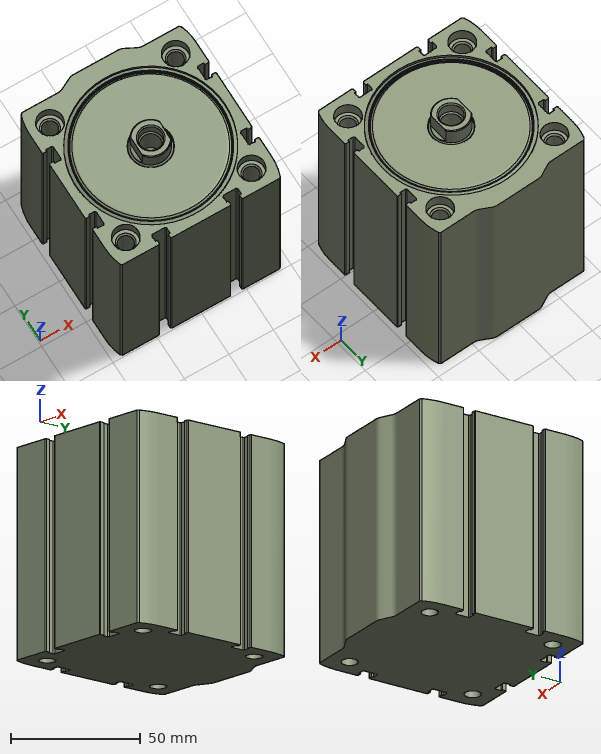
import cadquery as cq

width = 75.0
depth = 78.5
total_height = 92.0
rod_projection = 7.0
housing_height = total_height - rod_projection

half_width = width / 2
bow_start = 28.3
bow_end_x = 36.0
bow_end_y = 36.9
top_edge_end = 35.2
bow_mid_x = half_width - (half_width - bow_end_x) / 4
bow_mid_y = (bow_start + bow_end_y) / 2

hump_top = depth - half_width
hump_foot_x = 17.9
hump_crest_x = 11.2
hump_blend_radius = 5.0
hump_root_depth = 4.6
hump_root_x = 27.6

slot_offset = 16.0
slot_mouth = 5.0
slot_width = 6.6
slot_depth = 5.1
lip_depth = 2.0
lip_bevel = 0.4
floor_bevel = 0.5

hole_offset = 28.2
hole_diameter = 6.6
hole_mouth_diameter = 8.0
counterbore_diameter = 11.0
counterbore_depth = 5.0

groove_diameter = 67.0
groove_depth = 1.2
ridge_outer_diameter = 63.85
ridge_inner_diameter = 63.0
ridge_drop = 0.3
step_diameter = 62.4
step_drop = 1.1
disc_shoulder_diameter = 60.7
disc_shoulder_drop = 0.5
disc_diameter = 59.25
disc_drop = 0.3

shaft_diameter = 17.7
nose_diameter = 16.0
shoulder_drop = 0.55
shoulder_height = (shaft_diameter - nose_diameter) / 2
rod_length = 36.8
nose_bevel = 0.4
flat_spacing = 13.0
flat_base = 0.4
flat_base_fall = 0.7

seat_mouth_diameter = 18.1
seat_mouth_depth = shoulder_drop + shoulder_height

recess_diameter = 9.9
recess_mouth_diameter = 11.0
recess_depth = 5.0
recess_floor_fall = 0.5
bore_diameter = 8.6
bore_depth = 18.4
drill_tip_height = 2.5


def revolve_profile(points):
    """Turn (radius, height) points into a solid of revolution about Z."""
    return cq.Workplane("XZ").polyline(points).close().revolve(360, (0, 0, 0), (0, 1, 0))


def make_block():
    return (
        cq.Workplane("XY")
        .moveTo(0, -half_width)
        .lineTo(top_edge_end, -half_width)
        .lineTo(bow_end_x, -bow_end_y)
        .threePointArc((bow_mid_x, -bow_mid_y), (half_width, -bow_start))
        .lineTo(half_width, bow_start)
        .threePointArc((bow_mid_x, bow_mid_y), (bow_end_x, bow_end_y))
        .lineTo(top_edge_end, half_width)
        .lineTo(0, half_width)
        .mirrorY()
        .extrude(housing_height)
    )


def make_hump():
    root_y = half_width - hump_root_depth
    right_side = [
        (hump_crest_x, hump_top),
        (hump_foot_x, half_width),
        (hump_root_x, half_width),
        (hump_root_x, root_y),
    ]
    left_side = [(-x, y) for x, y in reversed(right_side)]
    hump = cq.Workplane("XY").polyline(right_side + left_side).close().extrude(housing_height)
    bend_points = right_side[:2] + left_side[2:]
    for x, y in bend_points:
        bend = cq.selectors.NearestToPointSelector((x, y, housing_height / 2))
        hump = hump.edges("|Z").edges(bend).fillet(hump_blend_radius)
    return hump


def make_slot(offset, side_angle):
    """T-slot cutter for the -Y side, turned about Z to the side it belongs to."""
    mouth_x = slot_mouth / 2
    inner_x = slot_width / 2
    right_side = [
        (mouth_x + lip_bevel, 0),
        (mouth_x, lip_bevel),
        (mouth_x, lip_depth),
        (inner_x, lip_depth),
        (inner_x, slot_depth - floor_bevel),
        (inner_x - floor_bevel, slot_depth),
    ]
    left_side = [(-x, y) for x, y in reversed(right_side)]
    slot = cq.Workplane("XY").polyline(right_side + left_side).close().extrude(housing_height)
    return slot.translate((offset, -half_width, 0)).rotate((0, 0, 0), (0, 0, 1), side_angle)


def make_mounting_hole(x, y):
    floor = housing_height - counterbore_depth
    hole_radius = hole_diameter / 2
    mouth_radius = hole_mouth_diameter / 2
    counterbore_radius = counterbore_diameter / 2
    hole = revolve_profile([
        (0, 0),
        (hole_radius, 0),
        (hole_radius, floor - (mouth_radius - hole_radius)),
        (mouth_radius, floor),
        (counterbore_radius, floor),
        (counterbore_radius, housing_height),
        (0, housing_height),
    ])
    return hole.translate((x, y, 0))


def make_end_face_cut():
    return revolve_profile([
        (0, housing_height),
        (0, housing_height - disc_drop),
        (disc_diameter / 2, housing_height - disc_drop),
        (disc_shoulder_diameter / 2, housing_height - disc_shoulder_drop),
        (step_diameter / 2, housing_height - step_drop),
        (ridge_inner_diameter / 2, housing_height - step_drop),
        (ridge_inner_diameter / 2, housing_height - ridge_drop),
        (ridge_outer_diameter / 2, housing_height - ridge_drop),
        (groove_diameter / 2, housing_height - groove_depth),
        (groove_diameter / 2, housing_height),
    ])


def make_rod_seat():
    shaft_radius = shaft_diameter / 2
    mouth_radius = seat_mouth_diameter / 2
    rod_base = total_height - rod_length
    mouth_floor = housing_height - seat_mouth_depth
    return revolve_profile([
        (0, rod_base),
        (shaft_radius, rod_base),
        (shaft_radius, mouth_floor),
        (mouth_radius, mouth_floor),
        (mouth_radius, housing_height),
        (0, housing_height),
    ])


def make_housing():
    housing = make_block().union(make_hump())
    for side_angle in (0, 90, -90):
        for offset in (-slot_offset, slot_offset):
            housing = housing.cut(make_slot(offset, side_angle))
    for x in (-hole_offset, hole_offset):
        for y in (-hole_offset, hole_offset):
            housing = housing.cut(make_mounting_hole(x, y))
    return housing.cut(make_end_face_cut()).cut(make_rod_seat())


def make_rod_bore():
    recess_radius = recess_diameter / 2
    mouth_radius = recess_mouth_diameter / 2
    bore_radius = bore_diameter / 2
    recess_floor = total_height - recess_depth
    bore_floor = total_height - bore_depth
    return revolve_profile([
        (0, bore_floor - drill_tip_height),
        (bore_radius, bore_floor),
        (bore_radius, recess_floor - recess_floor_fall),
        (recess_radius, recess_floor),
        (recess_radius, total_height - (mouth_radius - recess_radius)),
        (mouth_radius, total_height),
        (0, total_height),
    ])


def make_flat_cut():
    """Cutter for the +X flat; its base slopes down away from the rod axis."""
    flat_x = flat_spacing / 2
    outer_x = shaft_diameter / 2
    base_z = housing_height + flat_base
    base_slope = flat_base_fall / (nose_diameter / 2 - flat_x)
    return (
        cq.Workplane("XZ")
        .polyline([
            (flat_x, base_z),
            (outer_x, base_z - base_slope * (outer_x - flat_x)),
            (outer_x, total_height),
            (flat_x, total_height),
        ])
        .close()
        .extrude(shaft_diameter / 2, both=True)
    )


def make_rod():
    shaft_radius = shaft_diameter / 2
    nose_radius = nose_diameter / 2
    rod_base = total_height - rod_length
    shoulder_top = housing_height - shoulder_drop
    rod = revolve_profile([
        (0, rod_base),
        (shaft_radius, rod_base),
        (shaft_radius, shoulder_top - shoulder_height),
        (nose_radius, shoulder_top),
        (nose_radius, total_height - nose_bevel),
        (nose_radius - nose_bevel, total_height),
        (0, total_height),
    ])
    flat_cut = make_flat_cut()
    return rod.cut(flat_cut).cut(flat_cut.mirror("YZ")).cut(make_rod_bore())


housing = make_housing()
rod = make_rod()
result = cq.Compound.makeCompound([housing.val(), rod.val()])